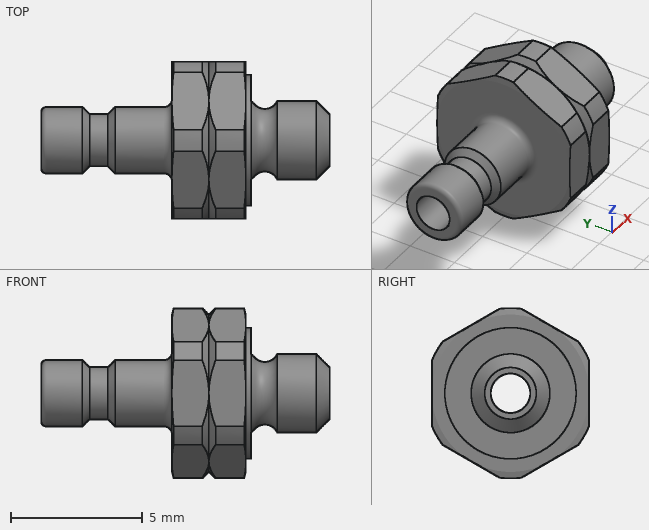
import cadquery as cq
import math

length = 11.0
bore_radius = 1.5 / 2

spigot_radius = 2.54 / 2
spigot_edge_fillet = 0.2
spigot_groove_radius = 2.0 / 2
spigot_groove_start = 1.57
spigot_groove_end = 2.82
spigot_groove_bevel = spigot_radius - spigot_groove_radius
spigot_root_fillet = 0.3

hex_across_flats = 6.0
hex_corner_radius = 6.5 / 2
hex_start = 4.98
hex_section_length = 1.41
hex_joint = hex_start + hex_section_length
hex_end = hex_joint + hex_section_length
face_radius = hex_across_flats / 2
outer_bevel = 0.07
joint_bevel = 0.25

collar_radius = 5.0 / 2
collar_end = hex_end + 0.2

plug_radius = 3.0 / 2
plug_start = 9.0
plug_tip_bevel = 0.52
neck_radius = 1.2
neck_cone_end = 8.13
neck_cone_end_radius = 1.38
neck_bottom = 8.5


def spigot_and_plug():
    """Revolve the round profile, including the collar, about X."""
    root_start = hex_start - spigot_root_fillet
    root_radius = spigot_radius + spigot_root_fillet
    diagonal = math.sqrt(0.5)
    edge_middle = (
        spigot_edge_fillet * (1 - diagonal),
        spigot_radius - spigot_edge_fillet * (1 - diagonal),
    )
    root_middle = (
        root_start + spigot_root_fillet * diagonal,
        root_radius - spigot_root_fillet * diagonal,
    )
    profile = (
        cq.Workplane("XY")
        .lineTo(0, spigot_radius - spigot_edge_fillet)
        .threePointArc(edge_middle, (spigot_edge_fillet, spigot_radius))
        .lineTo(spigot_groove_start, spigot_radius)
        .lineTo(spigot_groove_start + spigot_groove_bevel, spigot_groove_radius)
        .lineTo(spigot_groove_end - spigot_groove_bevel, spigot_groove_radius)
        .lineTo(spigot_groove_end, spigot_radius)
        .lineTo(root_start, spigot_radius)
        .threePointArc(root_middle, (hex_start, root_radius))
        .lineTo(hex_start, collar_radius)
        .lineTo(collar_end, collar_radius)
        .lineTo(collar_end, plug_radius)
        .lineTo(neck_cone_end, neck_cone_end_radius)
        .threePointArc((neck_bottom, neck_radius), (plug_start, plug_radius))
        .lineTo(length - plug_tip_bevel, plug_radius)
        .lineTo(length, plug_radius - plug_tip_bevel)
        .lineTo(length, 0)
        .close()
    )
    return profile.revolve(360, (0, 0, 0), (1, 0, 0))


def hexagons():
    """Hexagonal bar with corners along Z, trimmed by a bevelled round envelope."""
    corner_to_corner = hex_across_flats / math.cos(math.pi / 6)
    bar = (
        cq.Workplane("YZ")
        .workplane(offset=hex_start)
        .transformed(rotate=(0, 0, 90))
        .polygon(6, corner_to_corner)
        .extrude(hex_end - hex_start)
    )
    envelope = (
        cq.Workplane("XY")
        .moveTo(hex_start, 0)
        .lineTo(hex_start, face_radius)
        .lineTo(hex_start + outer_bevel, hex_corner_radius)
        .lineTo(hex_joint - joint_bevel, hex_corner_radius)
        .lineTo(hex_joint, face_radius)
        .lineTo(hex_joint + joint_bevel, hex_corner_radius)
        .lineTo(hex_end - outer_bevel, hex_corner_radius)
        .lineTo(hex_end, face_radius)
        .lineTo(hex_end, 0)
        .close()
        .revolve(360, (0, 0, 0), (1, 0, 0))
    )
    return bar.intersect(envelope)


bore = cq.Workplane("YZ").circle(bore_radius).extrude(length)
result = spigot_and_plug().union(hexagons()).cut(bore)